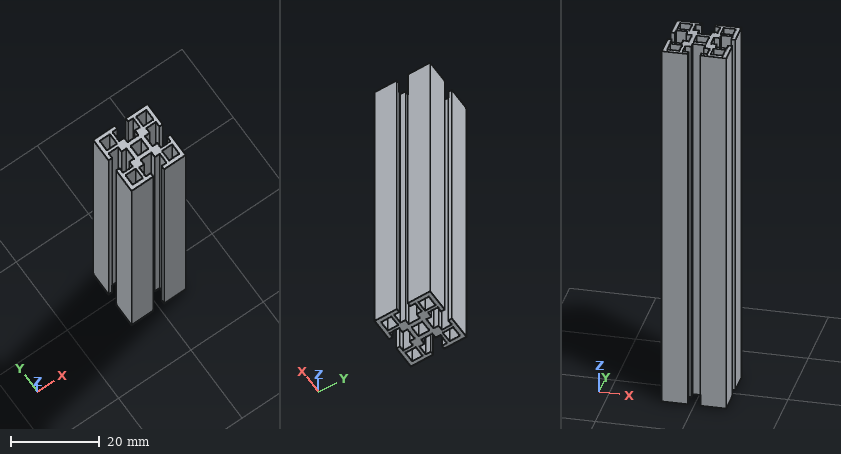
import cadquery as cq

length = 90.0
side = 15.0

slot_opening = 3.0
slot_cavity = 5.7
lip_thickness = 1.0
cavity_depth = 3.6
slot_depth = 4.95

core_hole = 2.9
corner_hole = 2.8
corner_wall = 1.1

half_side = side / 2
corner_offset = half_side - corner_wall - corner_hole / 2


def t_slot(angle):
    """Full-length T-slot cutter, turned about Z from the +Y face."""
    channel = cq.Workplane("XY").box(slot_opening, slot_depth, length).translate(
        (0, half_side - slot_depth / 2, 0)
    )
    cavity_height = cavity_depth - lip_thickness
    cavity = cq.Workplane("XY").box(slot_cavity, cavity_height, length).translate(
        (0, half_side - lip_thickness - cavity_height / 2, 0)
    )
    return channel.union(cavity).rotate((0, 0, 0), (0, 0, 1), angle)


body = cq.Workplane("XY").box(side, side, length)

for slot_angle in (0, 90, 180, 270):
    body = body.cut(t_slot(slot_angle))

body = body.faces(">Z").workplane(origin=(0, 0, 0)).rect(core_hole, core_hole).cutThruAll()

result = (
    body.faces(">Z")
    .workplane(origin=(0, 0, 0))
    .rect(2 * corner_offset, 2 * corner_offset, forConstruction=True)
    .vertices()
    .rect(corner_hole, corner_hole)
    .cutThruAll()
)